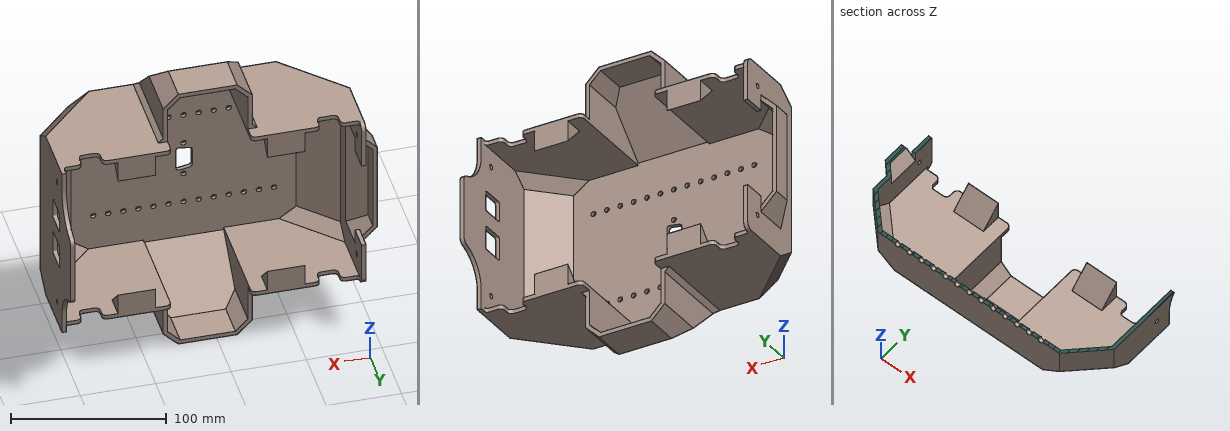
import cadquery as cq
import math


wall = 3.0
body_width = 201.8
body_height = 128.0
full_depth = 102.0
side_chamfer = 25.0
corner_chamfer = 9.8
chamfer_inset = wall * (2 - math.sqrt(2))

long_wall_depth = 73.9
left_wall_depth = 80.3
recess_depth = 64.3
edge_fillet = 3.2
tab_root_fillet = 2.0
left_tab_fillet = 5.0
cable_notch_width = 13.9
cable_notch_offset = 79.0

wedge_width = 25.0
wedge_offset = 49.5
wedge_run = 15.0

hood_width = 59.1
hood_rise = 37.0
hood_flat_start = 38.9
hood_chamfer = 10.0
hood_foot = 3.2

bump_rise = 11.7
bump_start = 38.6
bump_end = 63.6
bump_length = 87.5

tab_neck_radius = 25.0
tab_neck_offset = 49.7
tab_fillet = 5.0

slots = [(19.9, 14.7), (-7.7, 17.3)]
slot_start = 57.2
slot_end = 74.5
slot_fillet = 1.5

hole_diameter = 3.5
side_hole_depth = 67.7
side_hole_spacing = 96.5
row_length = 120.0
row_count = 13
row_pitch = row_length / (row_count - 1)
row_spacing = 70.0

connector_left = -5.8
connector_right = 5.1
connector_half_height = 9.5
connector_draft = math.radians(10)
connector_fillet = 2.1
connector_screw_spacing = 24.8

half_width = body_width / 2
half_height = body_height / 2
inner_half_width = half_width - wall
hood_inner_width = hood_width - 2 * wall
hood_slope_length = math.hypot(hood_flat_start, hood_rise)


def chamfered_body(inset, chamfer_loss):
    """Solid block with large front side chamfers and smaller chamfers at the four front corners."""
    width = body_width - 2 * inset
    height = body_height - 2 * inset
    leg = side_chamfer - chamfer_loss
    body = (
        cq.Workplane("XY")
        .box(width, full_depth - inset, height, centered=(True, False, True))
        .translate((0, inset, 0))
        .edges("|Z and <Y")
        .chamfer(leg)
    )
    slanted_ends = cq.selectors.BoxSelector(
        (-width, inset + leg / 4, -height), (width, inset + leg * 3 / 4, height), boundingbox=False
    )
    return body.edges(slanted_ends).chamfer(corner_chamfer - chamfer_loss)


def sloped_hood(outline, inset):
    """Extrude an X-Z outline along Y and keep the part behind the sloping front face.

    The slope is moved inwards, square to its face, by inset.
    Nothing is left in front of Y = inset.
    """
    prism = cq.Workplane("XZ", origin=(0, inset, 0)).polyline(outline).close().extrude(inset - recess_depth)
    shift = inset * hood_slope_length / hood_rise
    low_z = half_height - hood_rise
    high_z = half_height + 2 * hood_rise
    keep = (
        cq.Workplane("YZ")
        .polyline([
            (shift - hood_flat_start, low_z),
            (shift + 2 * hood_flat_start, high_z),
            (full_depth + 2 * hood_flat_start, high_z),
            (full_depth, low_z),
        ])
        .close()
        .extrude(half_width, both=True)
    )
    return prism.intersect(keep)


def hood_outer():
    half = hood_width / 2
    top = half_height + hood_rise
    right_side = [
        (half + hood_foot, half_height - wall),
        (half + hood_foot, half_height),
        (half, half_height + hood_foot),
        (half, top - hood_chamfer),
        (half - hood_chamfer, top),
    ]
    left_side = [(-x, z) for x, z in reversed(right_side)]
    return sloped_hood(right_side + left_side, 0)


def hood_cavity():
    half = hood_inner_width / 2
    top = half_height + hood_rise - wall
    leg = hood_chamfer - chamfer_inset
    right_side = [(half, half_height - 2 * wall), (half, top - leg), (half - leg, top)]
    left_side = [(-x, z) for x, z in reversed(right_side)]
    return sloped_hood(right_side + left_side, wall)


def bump(inset, base_depth):
    """Frustum with 45 degree slopes on three sides and a flat rear.

    inset moves its faces inwards; base_depth continues it below the outer wall face.
    """
    slope_shift = inset * math.sqrt(2)

    def section(height):
        start = bump_start + slope_shift + height
        half = bump_length / 2 - slope_shift - height
        return [(start, -half), (bump_end, -half), (bump_end, half), (start, half)]

    top = bump_rise - inset
    return (
        cq.Workplane("YZ", origin=(-half_width + base_depth, 0, 0))
        .polyline(section(-base_depth))
        .close()
        .workplane(offset=-(top + base_depth))
        .polyline(section(top))
        .close()
        .loft(ruled=True)
    )


def mirrored_in_z(solid):
    return solid.union(solid.mirror("XY"))


def wedges():
    """Four ramps that rise towards the rear, between the hood gaps and the cable notches."""
    inner_z = half_height - wall
    ramp_start = long_wall_depth - wedge_run
    wedge = (
        cq.Workplane("YZ", origin=(wedge_offset, 0, 0))
        .polyline([
            (ramp_start - wall, inner_z + wall),
            (long_wall_depth, inner_z + wall),
            (long_wall_depth, inner_z - wedge_run),
        ])
        .close()
        .extrude(wedge_width / 2, both=True)
    )
    return mirrored_in_z(wedge.union(wedge.mirror("YZ")))


def through_block(x_min, x_max, y_min, y_max):
    """Block between the given X and Y limits, taller than the main body."""
    return (
        cq.Workplane("XY")
        .box(x_max - x_min, y_max - y_min, 2 * body_height, centered=(False, False, True))
        .translate((x_min, y_min, 0))
    )


def rear_trim():
    """Material removed behind the top and bottom walls, with notches and the hood gap."""
    trim = through_block(-inner_half_width, inner_half_width, long_wall_depth, 2 * full_depth)
    trim = trim.edges("|Z and <Y").fillet(tab_root_fillet)
    half_notch = cable_notch_width / 2
    notch_centres = (-cable_notch_offset, cable_notch_offset)
    for centre in notch_centres:
        notch = through_block(centre - half_notch, centre + half_notch, recess_depth, full_depth)
        trim = trim.union(notch.edges("|Z and <Y").fillet(edge_fillet))
    half_gap = hood_inner_width / 2
    trim = trim.union(through_block(-half_gap, half_gap, recess_depth, full_depth))
    mouth_edges = [half_gap, -half_gap]
    for centre in notch_centres:
        mouth_edges += [centre - half_notch, centre + half_notch]
    for x in mouth_edges:
        trim = trim.edges(cq.NearestToPointSelector((x, long_wall_depth, 0))).fillet(edge_fillet)
    return trim


def left_wall_trim():
    """Material removed behind the left wall, leaving two corner tabs beside the bump."""
    keep = (
        cq.Workplane("XY")
        .box(wall, left_wall_depth, body_height, centered=(False, False, True))
        .translate((-half_width, 0, 0))
        .edges("|X and >Y")
        .fillet(left_tab_fillet)
    )
    notch = (
        cq.Workplane("XY")
        .box(wall, full_depth, bump_length - 2 * bump_rise, centered=(False, False, True))
        .translate((-half_width, bump_end, 0))
    )
    blank = (
        cq.Workplane("XY")
        .box(wall, full_depth, body_height, centered=(False, False, True))
        .translate((-half_width, long_wall_depth, 0))
    )
    return blank.cut(keep).union(notch)


def right_wall_trim():
    """Material removed around the rounded tab that rises from the right wall."""
    arc_centre_y = left_wall_depth + tab_neck_radius
    tip_offset = math.sqrt(tab_neck_radius**2 - (arc_centre_y - full_depth) ** 2)
    tip_z = tab_neck_offset - tip_offset
    middle = math.radians(40)
    arc_middle = (
        arc_centre_y - tab_neck_radius * math.cos(middle),
        tab_neck_offset - tab_neck_radius * math.sin(middle),
    )
    arc_end = (left_wall_depth, tab_neck_offset)
    tab = (
        cq.Workplane("YZ", origin=(inner_half_width, 0, 0))
        .moveTo(0, -half_height)
        .lineTo(left_wall_depth, -half_height)
        .lineTo(arc_end[0], -arc_end[1])
        .threePointArc((arc_middle[0], -arc_middle[1]), (full_depth, -tip_z))
        .lineTo(full_depth, tip_z)
        .threePointArc(arc_middle, arc_end)
        .lineTo(left_wall_depth, half_height)
        .lineTo(0, half_height)
        .close()
        .extrude(wall)
        .edges("|X and >Y")
        .fillet(tab_fillet)
    )
    blank = (
        cq.Workplane("XY")
        .box(wall, full_depth, body_height, centered=(False, False, True))
        .translate((inner_half_width, long_wall_depth, 0))
    )
    return blank.cut(tab)


def right_wall_slots():
    cutter = cq.Workplane("XY")
    for centre_z, length in slots:
        slot = (
            cq.Workplane("XY")
            .box(2 * wall, slot_end - slot_start, length, centered=(True, False, True))
            .edges("|X")
            .fillet(slot_fillet)
            .translate((half_width, slot_start, centre_z))
        )
        cutter = cutter.add(slot)
    return cutter.combine()


def front_holes():
    rows = cq.Workplane("XZ").rarray(row_pitch, row_spacing, row_count, 2).circle(hole_diameter / 2)
    screws = cq.Workplane("XZ").rarray(2.1, connector_screw_spacing, 1, 2).circle(hole_diameter / 2)
    return rows.extrude(-2 * wall).union(screws.extrude(-2 * wall))


def side_holes():
    """Screw holes through the left and right walls."""
    return (
        cq.Workplane("YZ", origin=(0, side_hole_depth, 0))
        .rarray(2.1, side_hole_spacing, 1, 2)
        .circle(hole_diameter / 2)
        .extrude(body_width, both=True)
    )


def connector_opening():
    taper = (connector_right - connector_left) * math.tan(connector_draft)
    small_half = connector_half_height - taper
    return (
        cq.Workplane("XZ")
        .polyline([
            (connector_left, -small_half),
            (connector_right, -connector_half_height),
            (connector_right, connector_half_height),
            (connector_left, small_half),
        ])
        .close()
        .extrude(-2 * wall)
        .edges("|Y")
        .fillet(connector_fillet)
    )


outer = chamfered_body(0, 0).union(mirrored_in_z(hood_outer())).union(bump(0, wall / 2))
cavity = chamfered_body(wall, chamfer_inset)
cavity = cavity.union(mirrored_in_z(hood_cavity())).union(bump(wall, 2 * wall))

result = outer.cut(cavity).union(wedges())
cutters = [
    rear_trim(),
    left_wall_trim(),
    right_wall_trim(),
    right_wall_slots(),
    front_holes(),
    side_holes(),
    connector_opening(),
]
for cutter in cutters:
    result = result.cut(cutter)